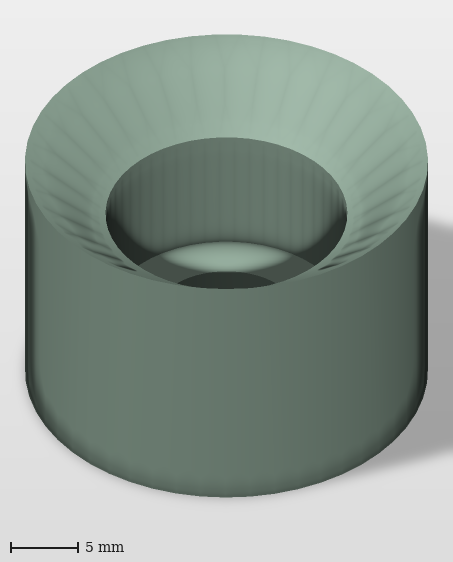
import cadquery as cq

outer_diameter = 30.0
height = 20.0
bore_diameter = 18.0
through_hole_diameter = 11.0
floor_thickness = height / 4
funnel_depth = height / 4

outer_radius = outer_diameter / 2
bore_radius = bore_diameter / 2
hole_radius = through_hole_diameter / 2
funnel_bottom = height - funnel_depth

half_section = (
    cq.Workplane("XZ")
    .moveTo(hole_radius, 0)
    .lineTo(outer_radius, 0)
    .lineTo(outer_radius, height)
    .lineTo(bore_radius, funnel_bottom)
    .lineTo(bore_radius, floor_thickness)
    .lineTo(hole_radius, floor_thickness)
    .close()
)

result = half_section.revolve(360, (0, 0, 0), (0, 1, 0))